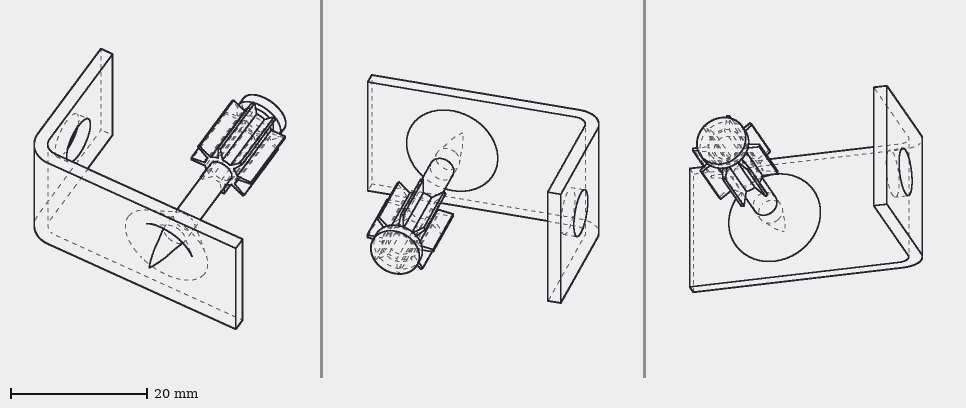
import cadquery as cq
import math

bracket_length = 36.0
bracket_height = 19.1
leg_depth = 22.5
thickness = 2.0
bend_inner_radius = 2.0
bend_outer_radius = bend_inner_radius + thickness
leg_hole_diameter = 7.0
leg_hole_y = 12.5

axis_x = 23.0
axis_z = bracket_height / 2

mouth_radius = 7.4
mouth_round = 3.0
cone_angle = math.radians(45)

pin_radius = 1.85
head_radius = 3.75
head_thickness = 1.55
head_top_y = 30.6
flare_radius = 2.52
flare_length = 0.97
tip_y = -3.0
ogive_start_radius = 1.35
ogive_start_y = 2.05
ogive_middle_radius = 0.97

sleeve_length = 10.0
hub_radius = 2.77
fin_count = 8
fin_reach = 5.08
fin_straight_flank = -0.5
fin_tip_flank = -0.1
fin_base_flank = 0.25

head_bottom_y = head_top_y - head_thickness
sleeve_top_y = head_bottom_y - flare_length
throat_radius = mouth_radius - mouth_round * math.sin(cone_angle)
throat_y = mouth_round * (1 - math.cos(cone_angle))
cone_inner_end_y = throat_y + (throat_radius - pin_radius) * math.tan(cone_angle)
cone_outer_end_y = cone_inner_end_y + thickness / math.cos(cone_angle)
cone_outer_base_radius = pin_radius + (cone_outer_end_y - thickness) / math.tan(cone_angle)


def revolve_on_axis(profile):
    """Turn a (radius, y) profile about Y and move it onto the pin axis."""
    return profile.close().revolve(360, (0, 0, 0), (0, 1, 0)).translate((axis_x, 0, axis_z))


def make_angle_plate():
    leg_and_plate = (
        cq.Workplane("XY")
        .moveTo(bend_outer_radius, 0)
        .lineTo(bracket_length, 0)
        .lineTo(bracket_length, thickness)
        .lineTo(bend_outer_radius, thickness)
        .radiusArc((thickness, bend_outer_radius), bend_inner_radius)
        .lineTo(thickness, leg_depth)
        .lineTo(0, leg_depth)
        .lineTo(0, bend_outer_radius)
        .radiusArc((bend_outer_radius, 0), -bend_outer_radius)
        .close()
        .extrude(bracket_height)
    )
    leg_hole = (
        cq.Workplane("YZ")
        .center(leg_hole_y, bracket_height / 2)
        .circle(leg_hole_diameter / 2)
        .extrude(thickness)
    )
    return leg_and_plate.cut(leg_hole)


def make_bracket():
    raised_cone = revolve_on_axis(
        cq.Workplane("XY")
        .lineTo(cone_outer_base_radius, 0)
        .lineTo(cone_outer_base_radius, thickness)
        .lineTo(pin_radius, cone_outer_end_y)
        .lineTo(0, cone_outer_end_y)
    )
    half_angle = cone_angle / 2
    round_middle = (
        mouth_radius - mouth_round * math.sin(half_angle),
        mouth_round * (1 - math.cos(half_angle)),
    )
    hollow = revolve_on_axis(
        cq.Workplane("XY")
        .lineTo(mouth_radius, 0)
        .threePointArc(round_middle, (throat_radius, throat_y))
        .lineTo(pin_radius, cone_inner_end_y)
        .lineTo(pin_radius, cone_outer_end_y)
        .lineTo(0, cone_outer_end_y)
    )
    return make_angle_plate().union(raised_cone).cut(hollow)


def make_pin():
    flare_step = flare_radius - pin_radius
    flare_arc_radius = (flare_length**2 + flare_step**2) / (2 * flare_step)
    return revolve_on_axis(
        cq.Workplane("XY")
        .moveTo(0, tip_y)
        .threePointArc((ogive_middle_radius, 0), (ogive_start_radius, ogive_start_y))
        .lineTo(pin_radius, cone_inner_end_y)
        .lineTo(pin_radius, sleeve_top_y)
        .radiusArc((flare_radius, head_bottom_y), flare_arc_radius)
        .lineTo(head_radius, head_bottom_y)
        .lineTo(head_radius, head_top_y)
        .lineTo(0, head_top_y)
    )


def make_sleeve():
    sleeve_plane = cq.Workplane("XZ", origin=(axis_x, sleeve_top_y, axis_z))
    sleeve = sleeve_plane.circle(hub_radius).extrude(sleeve_length)
    fin = (
        sleeve_plane.moveTo(fin_straight_flank, pin_radius)
        .lineTo(fin_straight_flank, fin_reach)
        .lineTo(fin_tip_flank, fin_reach)
        .lineTo(fin_base_flank, hub_radius)
        .lineTo(fin_base_flank, pin_radius)
        .close()
        .extrude(sleeve_length)
    )
    axis_start = (axis_x, 0, axis_z)
    axis_end = (axis_x, 1, axis_z)
    for index in range(fin_count):
        sleeve = sleeve.union(fin.rotate(axis_start, axis_end, index * 360 / fin_count))
    bore = sleeve_plane.circle(pin_radius).extrude(sleeve_length)
    return sleeve.cut(bore)


bracket = make_bracket()
pin = make_pin()
sleeve = make_sleeve()

result = cq.Compound.makeCompound([bracket.val(), pin.val(), sleeve.val()])